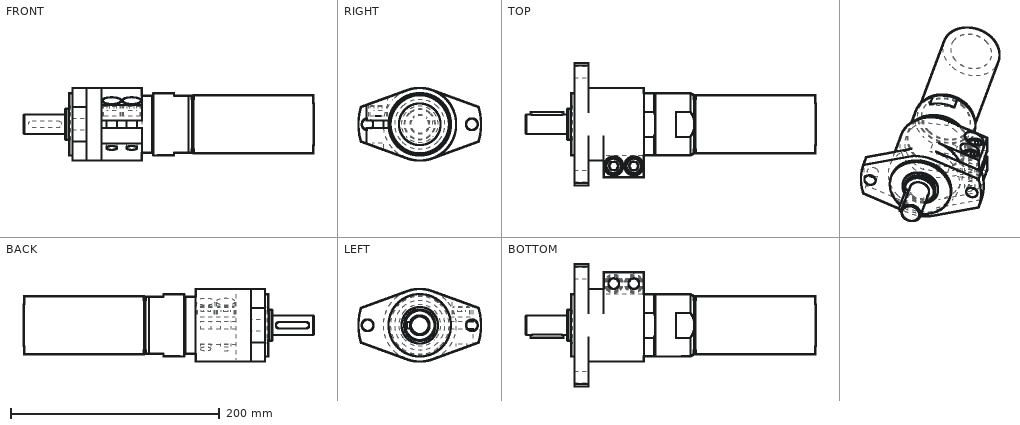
import cadquery as cq
import math


RING_START = 39.8
PILOT_START = 43.8
FLANGE_START = 46.8
FLANGE_END = 60.5
CLAMP_START = 75.0
CLAMP_END = 113.5
GROOVE_CENTRE = 124.0
NUT_START = 144.5
NUT_END = 161.5
MOTOR_START = 163.2
MOTOR_END = 278.2
OVERALL_LENGTH = 278.7

SHAFT_DIAMETER = 19.0
SHAFT_CHAMFER = 1.0
KEY_WIDTH = 6.0
KEY_LENGTH = 32.0
KEY_START = 4.5
KEY_TOP = 12.0
RING_DIAMETER = 29.95
RING_CHAMFER = 0.8
SEAL_POCKET_DIAMETER = 35.0
SEAL_POCKET_DEPTH = 1.0

PILOT_DIAMETER = 60.0
HOUSING_RADIUS = 35.0
FLANGE_TIP_RADIUS = 59.0
SIDE_ANGLE = 20.0
FLANGE_HOLE_DIAMETER = 11.0
FLANGE_HOLE_OFFSET = 50.0

CLAMP_REACH = 51.0
SLOT_WIDTH = 7.0
SCREW_OFFSET = 40.0
SCREW_SPACING = 19.25
SCREW_DIAMETER = 10.0
SCREW_TIP_Z = -18.0
THREAD_HOLE_DIAMETER = 10.3
COUNTERBORE_DIAMETER = 18.0
HEAD_DIAMETER = 16.0
HEAD_TOP_DIAMETER = 14.0
HEAD_CHAMFER_HEIGHT = 0.8
HEAD_HEIGHT = 10.0
HEAD_TOP_Z = 18.0
SEAT_Z = HEAD_TOP_Z - HEAD_HEIGHT
SOCKET_ACROSS_FLATS = 8.0
SOCKET_DEPTH = 5.0
SOCKET_TURN = 30.0

GEARBOX_DIAMETER = 60.0
GROOVE_DEPTH = 0.8
FLATS_WIDTH = 55.0
NUT_CHAMFER_LENGTH = 3.3
NUT_END_DIAMETER = 56.0
NECK_DIAMETER = 48.0
MOTOR_DIAMETER = 56.0
END_DISC_DIAMETER = 40.0


def cylinder(x_start, x_end, diameter):
    """Solid cylinder about the X axis."""
    return cq.Workplane("YZ", origin=(x_start, 0, 0)).circle(diameter / 2).extrude(x_end - x_start)


def vertical_cylinder(x, z_bottom, z_top, diameter):
    """Solid cylinder parallel to Z on a clamp screw axis."""
    base = cq.Workplane("XY", origin=(x, -SCREW_OFFSET, z_bottom))
    return base.circle(diameter / 2).extrude(z_top - z_bottom)


def side_height(y_distance):
    """Half height of a sloping side, tangent to the housing, at a distance from the axis."""
    angle = math.radians(SIDE_ANGLE)
    return (HOUSING_RADIUS - y_distance * math.sin(angle)) / math.cos(angle)


def tangent_y():
    """Distance in Y at which the sloping sides touch the housing."""
    return HOUSING_RADIUS * math.sin(math.radians(SIDE_ANGLE))


def make_shaft():
    """Keyed output shaft with the chamfered seal ring and the collar behind it."""
    shaft = cylinder(0, RING_START, SHAFT_DIAMETER).faces("<X").chamfer(SHAFT_CHAMFER)
    key = (
        cq.Workplane("XZ", origin=(KEY_START + KEY_LENGTH / 2, 0, 0))
        .slot2D(KEY_LENGTH, KEY_WIDTH)
        .extrude(-KEY_TOP)
    )
    ring = cylinder(RING_START, PILOT_START, RING_DIAMETER).faces("<X or >X").chamfer(RING_CHAMFER)
    collar = cylinder(PILOT_START, PILOT_START + SEAL_POCKET_DEPTH, RING_DIAMETER - 2 * RING_CHAMFER)
    return shaft.union(key).union(ring).union(collar)


def make_flange():
    """Flange with two ears, housing barrel behind it and locating pilot in front."""
    y_tan = tangent_y()
    z_tan = side_height(y_tan)
    z_tip = side_height(FLANGE_TIP_RADIUS)
    thickness = FLANGE_END - FLANGE_START
    ears = (
        cq.Workplane("YZ", origin=(FLANGE_START, 0, 0))
        .moveTo(y_tan, z_tan)
        .lineTo(FLANGE_TIP_RADIUS, z_tip)
        .lineTo(FLANGE_TIP_RADIUS, -z_tip)
        .lineTo(y_tan, -z_tan)
        .lineTo(-y_tan, -z_tan)
        .lineTo(-FLANGE_TIP_RADIUS, -z_tip)
        .lineTo(-FLANGE_TIP_RADIUS, z_tip)
        .lineTo(-y_tan, z_tan)
        .close()
        .extrude(thickness)
        .intersect(cylinder(FLANGE_START, FLANGE_END, 2 * FLANGE_TIP_RADIUS))
    )
    holes = (
        cq.Workplane("YZ", origin=(FLANGE_START, 0, 0))
        .pushPoints([(-FLANGE_HOLE_OFFSET, 0), (FLANGE_HOLE_OFFSET, 0)])
        .circle(FLANGE_HOLE_DIAMETER / 2)
        .extrude(thickness)
    )
    pilot = cylinder(PILOT_START, FLANGE_START, PILOT_DIAMETER)
    pocket = cylinder(PILOT_START, PILOT_START + SEAL_POCKET_DEPTH, SEAL_POCKET_DIAMETER)
    housing = cylinder(FLANGE_START, CLAMP_START, 2 * HOUSING_RADIUS)
    return housing.union(ears).cut(holes).union(pilot).cut(pocket)


def make_screw(x):
    """Socket head screw pointing down."""
    head = vertical_cylinder(x, SEAT_Z, HEAD_TOP_Z, HEAD_DIAMETER)
    head = head.faces(">Z").chamfer(HEAD_CHAMFER_HEIGHT, (HEAD_DIAMETER - HEAD_TOP_DIAMETER) / 2)
    socket = (
        cq.Workplane("XY", origin=(x, -SCREW_OFFSET, HEAD_TOP_Z))
        .polygon(6, SOCKET_ACROSS_FLATS, circumscribed=True)
        .extrude(-SOCKET_DEPTH)
        .rotate((x, -SCREW_OFFSET, 0), (x, -SCREW_OFFSET, 1), SOCKET_TURN)
    )
    shank = vertical_cylinder(x, SCREW_TIP_Z, SEAT_Z, SCREW_DIAMETER)
    return head.cut(socket).union(shank)


def make_clamp():
    """Split jaws on the -Y side, drawn together by two screws."""
    y_tan = tangent_y()
    z_tan = side_height(y_tan)
    z_end = side_height(CLAMP_REACH)
    length = CLAMP_END - CLAMP_START
    jaws = (
        cq.Workplane("YZ", origin=(CLAMP_START, 0, 0))
        .moveTo(-y_tan, z_tan)
        .lineTo(-CLAMP_REACH, z_end)
        .lineTo(-CLAMP_REACH, -z_end)
        .lineTo(-y_tan, -z_tan)
        .close()
        .extrude(length)
    )
    clamp = cylinder(CLAMP_START, CLAMP_END, 2 * HOUSING_RADIUS).union(jaws)
    slot = cq.Workplane("XY").box(length, CLAMP_REACH, SLOT_WIDTH, centered=(False, False, True))
    clamp = clamp.cut(slot.translate((CLAMP_START, -CLAMP_REACH, 0)))
    middle = (CLAMP_START + CLAMP_END) / 2
    for x in (middle - SCREW_SPACING / 2, middle + SCREW_SPACING / 2):
        clamp = clamp.cut(vertical_cylinder(x, SEAT_Z, HOUSING_RADIUS, COUNTERBORE_DIAMETER))
        clamp = clamp.cut(vertical_cylinder(x, -HOUSING_RADIUS, SCREW_TIP_Z, THREAD_HOLE_DIAMETER))
        clamp = clamp.union(make_screw(x))
    return clamp


def flatten(body, x_start, x_end):
    """Cut the two wrench flats, normal to Z, over a stretch of a turned body."""
    size = GEARBOX_DIAMETER
    keep = cq.Workplane("XY").box(x_end - x_start, size, FLATS_WIDTH, centered=(False, True, True))
    return body.intersect(keep.translate((x_start, 0, 0)))


def make_gearbox():
    """Gearbox body running through the clamp, with a V groove and a flatted, chamfered end."""
    front = cylinder(CLAMP_START, GROOVE_CENTRE, GEARBOX_DIAMETER).faces(">X").chamfer(GROOVE_DEPTH)
    front = flatten(front, CLAMP_START, GROOVE_CENTRE)
    middle = cylinder(GROOVE_CENTRE, NUT_START, GEARBOX_DIAMETER).faces("<X").chamfer(GROOVE_DEPTH)
    chamfer_depth = (GEARBOX_DIAMETER - NUT_END_DIAMETER) / 2
    nut = cylinder(NUT_START, NUT_END, GEARBOX_DIAMETER)
    nut = nut.faces(">X").chamfer(NUT_CHAMFER_LENGTH, chamfer_depth)
    return front.union(middle).union(flatten(nut, NUT_START, NUT_END))


def make_motor():
    """Motor tube on a narrow neck, with a thin disc on its free end."""
    neck = cylinder(NUT_END, MOTOR_START, NECK_DIAMETER)
    body = cylinder(MOTOR_START, MOTOR_END, MOTOR_DIAMETER)
    end_disc = cylinder(MOTOR_END, OVERALL_LENGTH, END_DISC_DIAMETER)
    return neck.union(body).union(end_disc)


result = make_flange().union(make_clamp()).union(make_gearbox())
result = result.union(make_shaft()).union(make_motor())